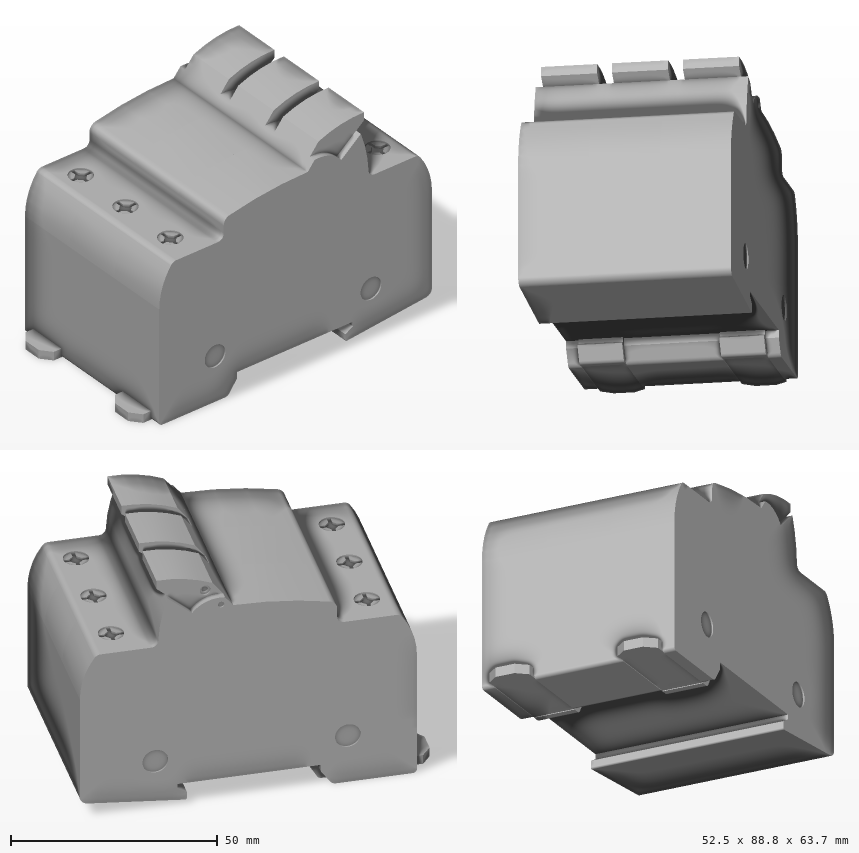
import cadquery as cq
import math


pole_count = 3
stack_width = 52.5
pole_width = stack_width / pole_count
stack_left = -stack_width / 2
pole_centers = [stack_left + pole_width * (i + 0.5) for i in range(pole_count)]

overall_length = 88.8
depth = 84.1
shoulder_start_z = 33.7
shoulder_radius = 19.5
terminal_z = 45.9
shoulder_edge_radius = 1.95
corner_radius = 1.0
heel_z = 3.9
heel_radius = 2.1

nose_front_y = 19.9
nose_front_z = 51.9
nose_edge_radius = 2.3
nose_root_radius = 1.8
crest_y = 45.8
crest_z = 55.0
roof_bulge = 0.8
tower_back_y = 64.6
tower_root_radius = 1.8
tower_bulge = 0.6
tip_y = 62.2
tip_z = 59.3

drum_y = 49.1
drum_z = 48.7
drum_radius = 9.0
drum_front_y = 47.9
valley_y = 56.1

notch_front_y = 24.0
notch_back_y = 59.8
notch_roof_z = 5.9
toe_y = 21.1
toe_top_z = 4.0
toe_radius = 1.8
lip_y = 57.4
lip_z = 1.1
lip_tip_z = 3.2
lip_root_z = 4.5
lip_radius = 0.4

handle_width = 13.85
handle_nose_z = 60.9
handle_top_z = 63.7
handle_bulge = 0.8
handle_bore_y = 52.4
handle_bore_z = 59.1
handle_bore_radius = 1.3
handle_bore_depth = 0.4

pin_hole_radius = 0.8
pin_hole_depth = 0.4
pin_hole_y = 48.8
pin_hole_z = 55.6

screw_ys = (10.3, 74.15)
screw_radius = 3.2
screw_sink = 0.4
cross_depth = 0.8
cross_arm_width = 1.0
cross_heart_reach = 2.0

rivet_ys = (17.2, 65.3)
rivet_z = 13.2
rivet_radius = 3.2
rivet_sink = 0.4

clip_centers = (pole_centers[0], pole_centers[-1])
clip_width = 11.0
clip_bottom_z = 0.2
clip_top_z = 2.7
tab_end_y = depth - overall_length
tab_shoulder_y = tab_end_y / 2
tab_tip_width = 5.15
hook_front_y = 21.3
hook_neck_y = 24.95
hook_neck_z = 4.7
hook_tip_y = 26.2
hook_tip_z = 4.1
hook_foot_y = 23.7
hook_foot_radius = 1.2


def drum_height(y):
    """Height of the drum surface at a given Y."""
    return drum_z + math.sqrt(drum_radius**2 - (y - drum_y) ** 2)


valley = (valley_y, drum_height(valley_y))
drum_top = (drum_y, drum_z + drum_radius)
drum_front = (drum_front_y, drum_height(drum_front_y))

shoulder_sweep = math.asin((terminal_z - shoulder_start_z) / shoulder_radius)
shoulder_inset = shoulder_radius * (1 - math.cos(shoulder_sweep))
shoulder_mid_inset = shoulder_radius * (1 - math.cos(shoulder_sweep / 2))
shoulder_mid_z = shoulder_start_z + shoulder_radius * math.sin(shoulder_sweep / 2)


def box(x_center, width, y_range, z_range):
    """Block centred on X, between two Y and two Z values."""
    size_y = y_range[1] - y_range[0]
    size_z = z_range[1] - z_range[0]
    block = cq.Workplane("XY").box(width, size_y, size_z, centered=(True, False, False))
    return block.translate((x_center, y_range[0], z_range[0]))


def rod(x_start, length, y, z, radius):
    """Cylinder along +X."""
    return cq.Workplane("YZ", origin=(x_start, y, z)).circle(radius).extrude(length)


def profile_plane(x_start):
    """YZ plane at a given X, for profiles extruded along +X."""
    return cq.Workplane("YZ", origin=(x_start, 0, 0))


def round_corner(body, x, y, z, radius):
    """Round the edge along X that passes through a profile corner."""
    return body.edges(cq.selectors.NearestToPointSelector((x, y, z))).fillet(radius)


def housing_blank(x_center):
    """Full pole profile with its rounded corners."""
    blank = (
        profile_plane(x_center - pole_width / 2)
        .moveTo(0, 0)
        .lineTo(toe_y, 0)
        .lineTo(notch_front_y, toe_top_z)
        .lineTo(notch_front_y, notch_roof_z)
        .lineTo(notch_back_y, notch_roof_z)
        .lineTo(notch_back_y, lip_root_z)
        .lineTo(lip_y, lip_tip_z)
        .lineTo(lip_y, lip_z)
        .lineTo(depth, heel_z)
        .lineTo(depth, shoulder_start_z)
        .threePointArc((depth - shoulder_mid_inset, shoulder_mid_z), (depth - shoulder_inset, terminal_z))
        .lineTo(tower_back_y, terminal_z)
        .sagittaArc((tip_y, tip_z), -tower_bulge)
        .lineTo(*valley)
        .threePointArc(drum_top, drum_front)
        .lineTo(crest_y, crest_z)
        .sagittaArc((nose_front_y, nose_front_z), -roof_bulge)
        .lineTo(nose_front_y, terminal_z)
        .lineTo(shoulder_inset, terminal_z)
        .threePointArc((shoulder_mid_inset, shoulder_mid_z), (0, shoulder_start_z))
        .close()
        .extrude(pole_width)
    )
    rounded_corners = [
        (0, 0, corner_radius),
        (toe_y, 0, toe_radius),
        (lip_y, lip_z, lip_radius),
        (depth, heel_z, heel_radius),
        (depth - shoulder_inset, terminal_z, shoulder_edge_radius),
        (tower_back_y, terminal_z, tower_root_radius),
        (nose_front_y, nose_front_z, nose_edge_radius),
        (nose_front_y, terminal_z, nose_root_radius),
        (shoulder_inset, terminal_z, shoulder_edge_radius),
    ]
    for y, z, radius in rounded_corners:
        blank = round_corner(blank, x_center, y, z, radius)
    return blank


def screw_recess(x_center, y):
    """Sunk screw head with a cross slot that widens at its heart."""
    head_z = terminal_z - screw_sink
    deck = cq.Workplane("XY", origin=(x_center, y, terminal_z))
    head = cq.Workplane("XY", origin=(x_center, y, head_z))
    sink = deck.circle(screw_radius).extrude(-screw_sink)
    arm = head.rect(2 * screw_radius, cross_arm_width).extrude(-cross_depth)
    cross_arm = head.rect(cross_arm_width, 2 * screw_radius).extrude(-cross_depth)
    heart = head.polygon(4, 2 * cross_heart_reach).extrude(-cross_depth)
    cross = arm.union(cross_arm).union(heart)
    within_head = head.circle(screw_radius).extrude(-cross_depth)
    return sink.union(cross.intersect(within_head))


def clip_slot(x_center):
    """Slot in the underside that takes a clip, open to the rail notch."""
    bar_slot = box(x_center, clip_width, (0, hook_front_y), (0, clip_top_z))
    hook_slot = box(x_center, clip_width, (hook_front_y, notch_front_y), (0, notch_roof_z))
    return bar_slot.union(hook_slot)


def make_housing(x_center):
    """One pole with its screw heads, rivet holes, pin hole and, on the outer poles, a clip slot."""
    left = x_center - pole_width / 2
    housing = housing_blank(x_center)
    for y in screw_ys:
        housing = housing.cut(screw_recess(x_center, y))
    for y in rivet_ys:
        housing = housing.cut(rod(left, pole_width, y, rivet_z, rivet_radius))
    housing = housing.cut(rod(left, pin_hole_depth, pin_hole_y, pin_hole_z, pin_hole_radius))
    if x_center in clip_centers:
        housing = housing.cut(clip_slot(x_center))
    return housing


def make_handle(x_center):
    """Lever seated on the drum, with a stepped bore in its left cheek."""
    left = x_center - handle_width / 2
    front_run = (drum_front[0] - crest_y) / (drum_front[1] - crest_z)
    nose_y = crest_y + front_run * (handle_nose_z - crest_z)
    under_rise = (tip_z - valley[1]) / (tip_y - valley_y)
    back_z = valley[1] + under_rise * (tower_back_y - valley_y)
    handle = (
        profile_plane(left)
        .moveTo(*valley)
        .threePointArc(drum_top, drum_front)
        .lineTo(nose_y, handle_nose_z)
        .sagittaArc((tower_back_y, handle_top_z), handle_bulge)
        .lineTo(tower_back_y, back_z)
        .close()
        .extrude(handle_width)
    )
    bore_depth = handle_bore_depth + pin_hole_depth
    bore = rod(left, handle_bore_depth, handle_bore_y, handle_bore_z, handle_bore_radius)
    pin_hole = rod(left, bore_depth, handle_bore_y, handle_bore_z, pin_hole_radius)
    return handle.cut(bore).cut(pin_hole)


def make_rivet(y):
    """Rod through all the poles, its ends sunk below the outer faces."""
    return rod(stack_left + rivet_sink, stack_width - 2 * rivet_sink, y, rivet_z, rivet_radius)


def make_clip(x_center):
    """Bar with a tapered tab in front and a rail hook behind."""
    bar = (
        cq.Workplane("XY", origin=(x_center, 0, clip_bottom_z))
        .moveTo(-clip_width / 2, hook_front_y)
        .lineTo(-clip_width / 2, tab_shoulder_y)
        .lineTo(-tab_tip_width / 2, tab_end_y)
        .lineTo(tab_tip_width / 2, tab_end_y)
        .lineTo(clip_width / 2, tab_shoulder_y)
        .lineTo(clip_width / 2, hook_front_y)
        .close()
        .extrude(clip_top_z - clip_bottom_z)
    )
    hook = (
        profile_plane(x_center - clip_width / 2)
        .moveTo(hook_front_y, 0)
        .lineTo(hook_foot_y, 0)
        .lineTo(hook_tip_y, hook_tip_z)
        .lineTo(hook_neck_y, hook_neck_z)
        .lineTo(hook_neck_y, notch_roof_z)
        .lineTo(hook_front_y, notch_roof_z)
        .close()
        .extrude(clip_width)
    )
    hook = round_corner(hook, x_center, hook_foot_y, 0, hook_foot_radius)
    return bar.union(hook)


housings = [make_housing(x) for x in pole_centers]
handles = [make_handle(x) for x in pole_centers]
rivets = [make_rivet(y) for y in rivet_ys]
clips = [make_clip(x) for x in clip_centers]

result = cq.Compound.makeCompound([body.val() for body in housings + handles + rivets + clips])